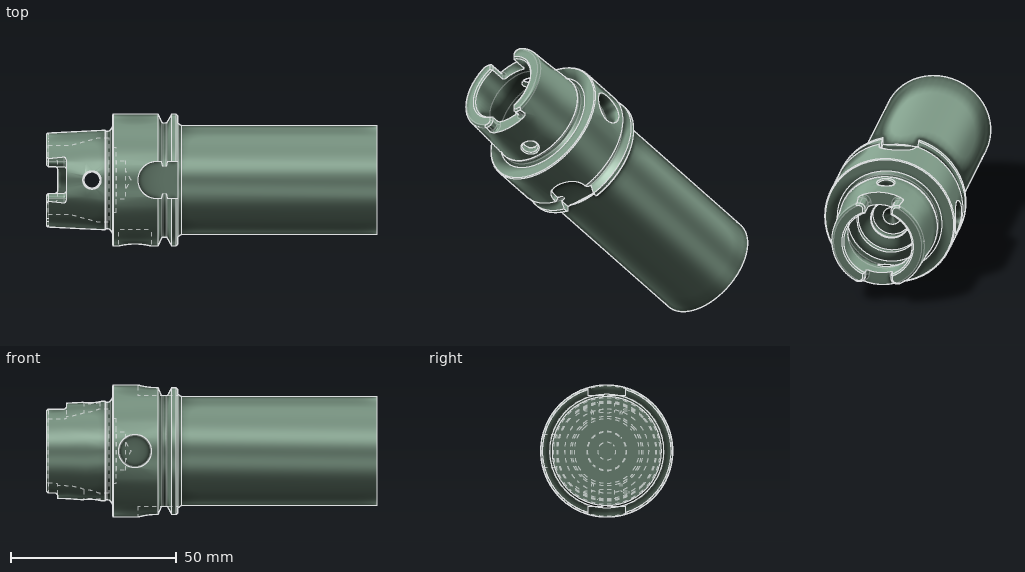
import cadquery as cq
import math


total_length = 99.9
shank_length = 20.0
collar_end = 39.8
body_radius = 16.5

taper_slope = 0.05
taper_end = 17.8
taper_end_radius = 15.1
nose_round = 0.7
relief_radius = 14.8
relief_start = 18.0
relief_fillet = 1.2
relief_fillet_sweep = 45.0
face_cone_length = 0.6
face_cone_radius = 16.1

collar_radius = 20.0
collar_front_chamfer = 0.3
collar_rear_chamfer = 0.6
groove_start = 33.8
groove_end = 37.9
groove_bottom_radius = 17.3
groove_bottom_start = 35.0
groove_bottom_end = 36.4
groove_fillet = 0.5
shoulder_radius = 17.2
shoulder_end = 40.8

mouth_radius = 10.5
mouth_chamfer = 0.5
clamp_start = 7.5
clamp_end = 15.6
clamp_radius = 12.7
clamp_floor = 19.0
inner_bore_radius = 9.8
inner_bore_floor = 21.0
center_bore_radius = 5.8
center_bore_chamfer = 0.2
center_bore_floor = 24.0
drill_point_radius = 2.7
drill_point_angle = 118.0

notch_half_width = 4.0
notch_land_height = 12.7
notch_edge_round = 1.6
notch_floor_fillet = 0.8
notch_mouth_chamfer = 0.6
flare_angle = 45.0
notch_tool_half_width = 9.0
notch_tool_bottom = 7.0
notch_tool_top = 17.0
upper_notch_depth = 6.1
lower_notch_depth = 3.4

access_x = 13.8
access_radius = 2.4
access_chamfer = 0.4

keyway_half_width = 5.6
keyway_start = 27.7
keyway_floor_height = 16.8

side_hole_x = 26.8
side_hole_radius = 5.0
side_hole_depth = 5.0
side_hole_floor_fillet = 0.3

clearance = 1.0


def revolve_about_x(outline):
    return outline.close().revolve(360, (0, 0, 0), (1, 0, 0))


def taper_radius(x):
    return taper_end_radius - taper_slope * (taper_end - x)


def make_outer_body():
    nose_radius = taper_radius(nose_round)
    nose_mid = nose_round * (1 - math.sqrt(0.5))
    sweep = math.radians(relief_fillet_sweep)
    relief_end = shank_length - face_cone_length - relief_fillet * math.sin(sweep)

    def relief_fillet_point(angle):
        return (
            relief_end + relief_fillet * math.sin(angle),
            relief_radius + relief_fillet * (1 - math.cos(angle)),
        )

    outline = (
        cq.Workplane("XY")
        .moveTo(0, 0)
        .lineTo(0, nose_radius - nose_round)
        .threePointArc((nose_mid, nose_radius - nose_mid), (nose_round, nose_radius))
        .lineTo(taper_end, taper_end_radius)
        .lineTo(relief_start, relief_radius)
        .lineTo(relief_end, relief_radius)
        .threePointArc(relief_fillet_point(sweep / 2), relief_fillet_point(sweep))
        .lineTo(shank_length, face_cone_radius)
        .lineTo(shank_length, collar_radius - collar_front_chamfer)
        .lineTo(shank_length + collar_front_chamfer, collar_radius)
        .lineTo(groove_start, collar_radius)
        .lineTo(groove_bottom_start, groove_bottom_radius)
        .lineTo(groove_bottom_end, groove_bottom_radius)
        .lineTo(groove_end, collar_radius)
        .lineTo(collar_end - collar_rear_chamfer, collar_radius)
        .lineTo(collar_end, collar_radius - collar_rear_chamfer)
        .lineTo(collar_end, shoulder_radius)
        .lineTo(shoulder_end, body_radius)
        .lineTo(total_length, body_radius)
        .lineTo(total_length, 0)
    )
    body = revolve_about_x(outline)
    groove_corners = cq.selectors.BoxSelector(
        (groove_start + clearance, -collar_radius, -collar_radius),
        (groove_end - clearance, collar_radius, collar_radius),
        boundingbox=True,
    )
    return body.edges(groove_corners).edges("%CIRCLE").fillet(groove_fillet)


def make_bore():
    point_depth = drill_point_radius / math.tan(math.radians(drill_point_angle / 2))
    return revolve_about_x(
        cq.Workplane("XY")
        .moveTo(0, 0)
        .lineTo(0, mouth_radius + mouth_chamfer)
        .lineTo(mouth_chamfer, mouth_radius)
        .lineTo(clamp_start, mouth_radius)
        .lineTo(clamp_end, clamp_radius)
        .lineTo(clamp_floor, clamp_radius)
        .lineTo(clamp_floor, inner_bore_radius)
        .lineTo(inner_bore_floor, inner_bore_radius)
        .lineTo(inner_bore_floor, center_bore_radius + center_bore_chamfer)
        .lineTo(inner_bore_floor + center_bore_chamfer, center_bore_radius)
        .lineTo(center_bore_floor, center_bore_radius)
        .lineTo(center_bore_floor, drill_point_radius)
        .lineTo(center_bore_floor + point_depth, 0)
    )


def notch_outline():
    """Slot that widens into two flat lands, with rounded edges between slot and lands."""
    round_mid = notch_edge_round * (1 - math.sqrt(0.5))
    land_start = notch_half_width + notch_edge_round
    wall_top = notch_land_height - notch_edge_round
    return (
        cq.Workplane("YZ")
        .moveTo(-notch_half_width, notch_tool_bottom)
        .lineTo(-notch_half_width, wall_top)
        .threePointArc(
            (-notch_half_width - round_mid, notch_land_height - round_mid),
            (-land_start, notch_land_height),
        )
        .lineTo(-notch_tool_half_width, notch_land_height)
        .lineTo(-notch_tool_half_width, notch_tool_top)
        .lineTo(notch_tool_half_width, notch_tool_top)
        .lineTo(notch_tool_half_width, notch_land_height)
        .lineTo(land_start, notch_land_height)
        .threePointArc(
            (notch_half_width + round_mid, notch_land_height - round_mid),
            (notch_half_width, wall_top),
        )
        .lineTo(notch_half_width, notch_tool_bottom)
        .close()
    )


def make_notch(depth):
    slot = notch_outline().extrude(depth).faces(">X").edges().fillet(notch_floor_fillet)
    flare = notch_outline().offset2D(notch_mouth_chamfer, "intersection")
    return slot.union(flare.extrude(notch_mouth_chamfer, taper=flare_angle))


def drill_access_hole(body):
    """Through hole along Z with a chamfered rim on both sides of the shank."""
    drill = cq.Workplane("XY").center(access_x, 0).circle(access_radius).extrude(collar_radius, both=True)
    reach = access_radius + clearance
    upper_rim = cq.selectors.BoxSelector(
        (access_x - reach, -reach, clamp_radius + clearance),
        (access_x + reach, reach, collar_radius),
        boundingbox=True,
    )
    lower_rim = cq.selectors.BoxSelector(
        (access_x - reach, -reach, -collar_radius),
        (access_x + reach, reach, -clamp_radius - clearance),
        boundingbox=True,
    )
    return body.cut(drill).edges(upper_rim + lower_rim).chamfer(access_chamfer)


def make_keyway():
    """Round-ended slot, open toward the body, with a flat floor."""
    arc_x = keyway_start + keyway_half_width
    return (
        cq.Workplane("XY", origin=(0, 0, keyway_floor_height))
        .moveTo(collar_end, -keyway_half_width)
        .lineTo(arc_x, -keyway_half_width)
        .threePointArc((keyway_start, 0), (arc_x, keyway_half_width))
        .lineTo(collar_end, keyway_half_width)
        .close()
        .extrude(collar_radius)
    )


def make_side_hole():
    return (
        cq.Workplane("XZ", origin=(side_hole_x, -collar_radius + side_hole_depth, 0))
        .circle(side_hole_radius)
        .extrude(side_hole_depth + clearance)
        .faces(">Y")
        .edges()
        .fillet(side_hole_floor_fillet)
    )


keyway = make_keyway()

result = (
    drill_access_hole(make_outer_body().cut(make_bore()))
    .cut(make_notch(upper_notch_depth))
    .cut(make_notch(lower_notch_depth).mirror("XY"))
    .cut(keyway)
    .cut(keyway.mirror("XY"))
    .cut(make_side_hole())
)